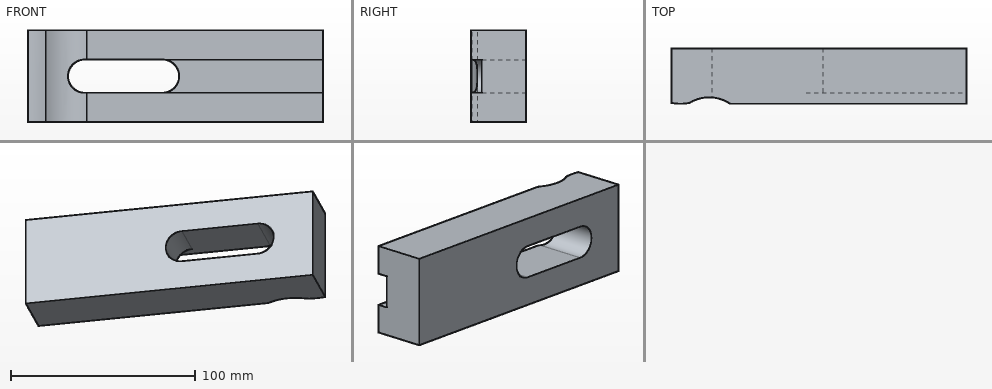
import cadquery as cq

length = 160.0
thickness = 30.0
height = 50.0

nose_length = 9.8
nose_rise = 0.5
hollow_end = 31.8
hollow_peak = 20.5
hollow_depth = 3.5

slot_width = 18.0
slot_start = 21.8
slot_length = 60.2
groove_depth = 6.0

slot_center = slot_start + slot_length / 2
groove_length = length - slot_center


def make_body():
    """Extrude the bar profile, with its curved nose, symmetrically in Z."""
    return (
        cq.Workplane("XY")
        .moveTo(0, thickness)
        .lineTo(0, nose_rise)
        .threePointArc((nose_length / 2, 0), (nose_length, nose_rise))
        .threePointArc((hollow_peak, hollow_depth), (hollow_end, 0))
        .lineTo(length, 0)
        .lineTo(length, thickness)
        .close()
        .extrude(height / 2, both=True)
    )


def make_slot():
    """Round-ended slot through the full thickness."""
    return (
        cq.Workplane("XZ")
        .center(slot_center, 0)
        .slot2D(slot_length, slot_width)
        .extrude(-thickness)
    )


def make_groove():
    """Groove in the clamping face, open at the far end."""
    return cq.Workplane("XY").box(
        groove_length, groove_depth, slot_width, centered=(False, False, True)
    ).translate((slot_center, 0, 0))


result = make_body().cut(make_slot()).cut(make_groove())